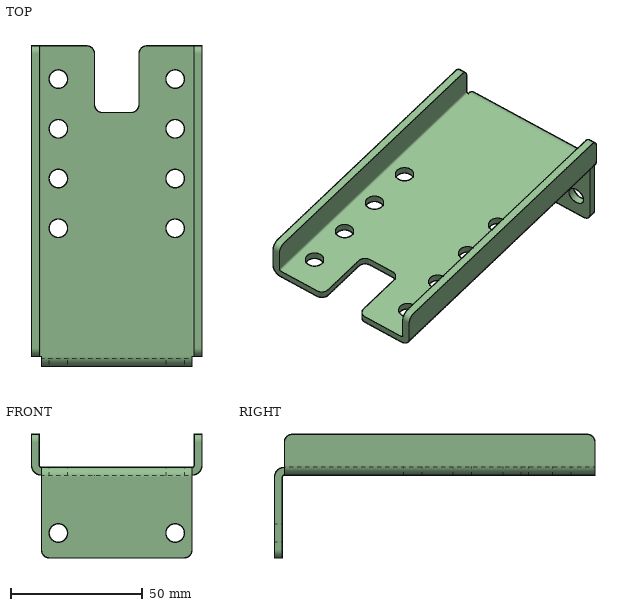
import cadquery as cq

sheet = 3.0
inner_bend = 0.7
outer_bend = inner_bend + sheet
overall_width = 65.0
overall_length = 122.2
flange_top = 15.6
overall_height = 47.2
corner_radius = 3.0

base_width = overall_width - 2 * outer_bend
base_length = overall_length - outer_bend
tab_bottom = flange_top - overall_height

notch_width = 16.9
notch_depth = 25.4

hole_diameter = 7.0
hole_row_spacing = 44.5
hole_pitch = 19.0
holes_per_row = 4
rear_hole_inset = 12.7
tab_hole_height = 9.5


def bent_profile(plane, flat_end, leg_end):
    """Section of a 90 degree bend and its upward leg.

    The flat sheet ends at local x = flat_end, spanning local y = 0 to sheet.
    """
    inner_x = flat_end + inner_bend
    outer_x = flat_end + outer_bend
    return (
        cq.Workplane(plane)
        .moveTo(flat_end, 0)
        .radiusArc((outer_x, outer_bend), -outer_bend)
        .lineTo(outer_x, leg_end)
        .lineTo(inner_x, leg_end)
        .lineTo(inner_x, outer_bend)
        .radiusArc((flat_end, sheet), inner_bend)
        .close()
    )


def make_base():
    base = cq.Workplane("XY").box(base_width, base_length, sheet, centered=(True, False, False))
    notch = (
        cq.Workplane("XY")
        .box(notch_width, notch_depth, sheet, centered=(True, False, False))
        .translate((0, base_length - notch_depth, 0))
    )
    half_notch = notch_width / 2
    notch_edges = cq.selectors.BoxSelector(
        (-half_notch - 1.2, base_length - notch_depth - 1.2, -1.2),
        (half_notch + 1.2, base_length + 1.2, sheet + 1.2),
    )
    return base.cut(notch).edges("|Z").edges(notch_edges).fillet(corner_radius)


def make_right_flange():
    section_plane = cq.Plane(origin=(0, base_length, 0), xDir=(1, 0, 0), normal=(0, -1, 0))
    flange = bent_profile(section_plane, base_width / 2, flange_top).extrude(base_length)
    return flange.faces(">Z").edges("|X").fillet(corner_radius)


def make_front_tab():
    section_plane = cq.Plane(origin=(-base_width / 2, 0, sheet), xDir=(0, -1, 0), normal=(1, 0, 0))
    tab = bent_profile(section_plane, 0, sheet - tab_bottom).extrude(base_width)
    return tab.faces("<Z").edges("|Y").fillet(corner_radius)


def make_holes():
    base_points = []
    tab_points = []
    for x in (-hole_row_spacing / 2, hole_row_spacing / 2):
        tab_points.append((x, tab_bottom + tab_hole_height))
        for index in range(holes_per_row):
            base_points.append((x, base_length - rear_hole_inset - index * hole_pitch))
    base_holes = cq.Workplane("XY").pushPoints(base_points).circle(hole_diameter / 2).extrude(sheet)
    tab_holes = cq.Workplane("XZ").pushPoints(tab_points).circle(hole_diameter / 2).extrude(outer_bend)
    return base_holes.union(tab_holes)


right_flange = make_right_flange()
left_flange = right_flange.mirror("YZ")
bracket = make_base().union(right_flange).union(left_flange).union(make_front_tab())
result = bracket.cut(make_holes())